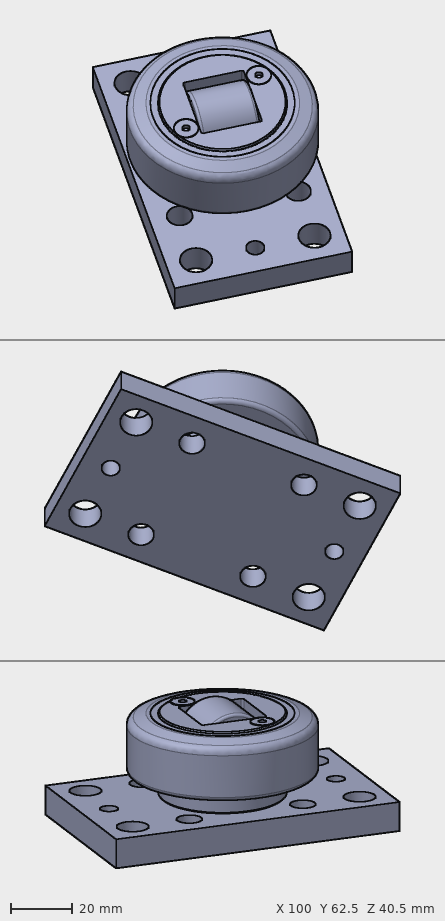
import cadquery as cq
import math

PLATE_LENGTH = 100.0
PLATE_WIDTH = 60.0
PLATE_THICKNESS = 10.0
MOUNT_HOLE_DIAMETER = 10.5
MOUNT_HOLE_X = 40.0
MOUNT_HOLE_Y = 20.0
DOWEL_HOLE_DIAMETER = 6.0
TAPPED_HOLE_DIAMETER = 8.38
TAPPED_HOLE_OFFSET = 20.0

STUD_DIAMETER = 42.0
STUD_CHAMFER = 0.5
STUD_TOP = 38.1

RING_DIAMETER = 62.5
RING_HEIGHT = 20.0
RING_BOTTOM = 17.7
RING_TOP = RING_BOTTOM + RING_HEIGHT
RING_BOTTOM_FILLET = 1.5
RING_SHOULDER_FILLET = 3.0
RING_FACE_DIAMETER = 50.0
CROWN_SLOPE = math.radians(17.8)

SEAL_DIAMETER = 47.0
SEAL_BORE = 42.1
SEAL_RECESS = 0.1
SEAL_LIP = 0.4

TOTAL_HEIGHT = 40.5
ROLLER_DIAMETER = 24.0
ROLLER_LENGTH = 20.0
ROLLER_END_FILLET = 1.0
WINDOW_LENGTH = 23.0
WINDOW_WIDTH = 20.5
WINDOW_DEPTH = 12.0
WINDOW_CORNER_RADIUS = 0.8

SCREW_HEAD_DIAMETER = 8.0
SCREW_SOCKET_DIAMETER = 2.5
SCREW_SOCKET_DEPTH = 1.5
SCREW_HEAD_HEIGHT = 2.0
SCREW_HEAD_RISE = 0.25
SCREW_X = 8.0
SCREW_Y = 14.5


def make_plate():
    plate = cq.Workplane("XY").box(PLATE_LENGTH, PLATE_WIDTH, PLATE_THICKNESS, centered=(True, True, False))
    mount_holes = plate.faces(">Z").workplane().rarray(2 * MOUNT_HOLE_X, 2 * MOUNT_HOLE_Y, 2, 2)
    plate = mount_holes.hole(MOUNT_HOLE_DIAMETER)
    tapped_spacing = 2 * TAPPED_HOLE_OFFSET
    tapped_holes = plate.faces(">Z").workplane().rarray(tapped_spacing, tapped_spacing, 2, 2)
    plate = tapped_holes.hole(TAPPED_HOLE_DIAMETER)
    dowel_holes = plate.faces(">Z").workplane().pushPoints([(-MOUNT_HOLE_X, 0), (MOUNT_HOLE_X, 0)])
    return dowel_holes.hole(DOWEL_HOLE_DIAMETER)


def make_stud():
    stud = cq.Workplane("XY", origin=(0, 0, PLATE_THICKNESS))
    stud = stud.circle(STUD_DIAMETER / 2).extrude(STUD_TOP - PLATE_THICKNESS)
    return stud.edges().chamfer(STUD_CHAMFER)


def make_ring():
    """Running ring: a cylinder whose top slopes from the shoulder up to a flat face."""
    outer_radius = RING_DIAMETER / 2
    face_radius = RING_FACE_DIAMETER / 2
    shoulder_height = RING_TOP - (outer_radius - face_radius) * math.tan(CROWN_SLOPE)
    profile = (
        cq.Workplane("XZ")
        .moveTo(0, RING_BOTTOM)
        .lineTo(outer_radius, RING_BOTTOM)
        .lineTo(outer_radius, shoulder_height)
        .lineTo(face_radius, RING_TOP)
        .lineTo(0, RING_TOP)
        .close()
    )
    ring = profile.revolve(360, (0, 0, 0), (0, 1, 0))
    shoulder_center = cq.selectors.NearestToPointSelector((0, 0, shoulder_height))
    ring = ring.edges(shoulder_center).fillet(RING_SHOULDER_FILLET)
    return ring.faces("<Z").edges().fillet(RING_BOTTOM_FILLET)


def make_seal_recess():
    """Shallow recess in the top face of the ring, deeper by one lip inside the seal bore."""
    recess_floor = cq.Workplane("XY", origin=(0, 0, RING_TOP - SEAL_RECESS))
    recess = recess_floor.circle(SEAL_DIAMETER / 2).extrude(SEAL_RECESS)
    return recess.union(recess_floor.circle(SEAL_BORE / 2).extrude(-SEAL_LIP))


def make_seal_lip():
    """Low collar below the ring, just proud of the stud."""
    lip = cq.Workplane("XY", origin=(0, 0, RING_BOTTOM - SEAL_LIP))
    return lip.circle(SEAL_BORE / 2).extrude(SEAL_LIP)


def make_window():
    window = cq.Workplane("XY", origin=(0, 0, STUD_TOP - WINDOW_DEPTH))
    window = window.rect(WINDOW_LENGTH, WINDOW_WIDTH).extrude(WINDOW_DEPTH)
    return window.edges("|Z").fillet(WINDOW_CORNER_RADIUS)


def make_roller():
    axis_height = TOTAL_HEIGHT - ROLLER_DIAMETER / 2
    roller = cq.Workplane("XZ", origin=(0, 0, axis_height))
    roller = roller.circle(ROLLER_DIAMETER / 2).extrude(ROLLER_LENGTH / 2, both=True)
    return roller.faces("<Y or >Y").edges().fillet(ROLLER_END_FILLET)


def make_screw_cylinders(diameter, depth):
    """Cylinder at both screw places, reaching down from the top of the screw heads."""
    shape = cq.Workplane("XY", origin=(0, 0, STUD_TOP + SCREW_HEAD_RISE))
    shape = shape.pushPoints([(-SCREW_X, SCREW_Y), (SCREW_X, -SCREW_Y)])
    return shape.circle(diameter / 2).extrude(-depth)


screw_heads = make_screw_cylinders(SCREW_HEAD_DIAMETER, SCREW_HEAD_HEIGHT)
screw_sockets = make_screw_cylinders(SCREW_SOCKET_DIAMETER, SCREW_SOCKET_DEPTH)

bearing = make_ring().cut(make_seal_recess()).union(make_seal_lip()).union(make_stud())
bearing = bearing.cut(make_window()).union(make_roller())
bearing = bearing.union(screw_heads).cut(screw_sockets)

result = make_plate().union(bearing)